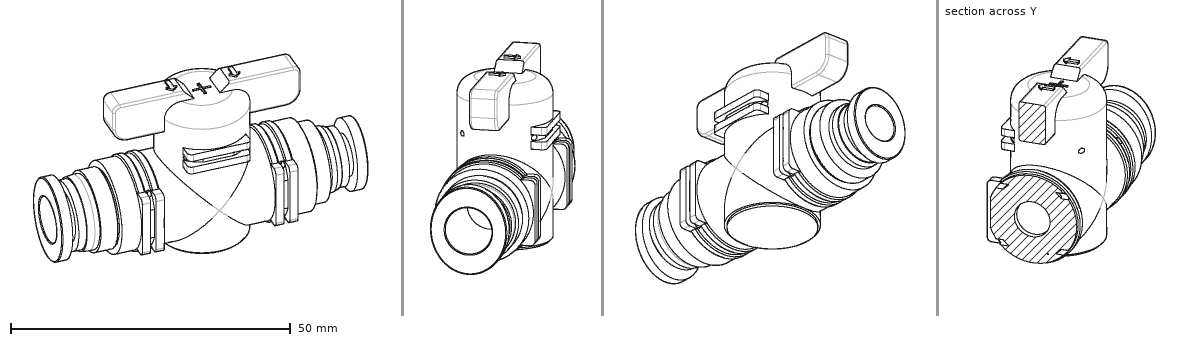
import cadquery as cq

half_length = 29.65
body_radius = 8.6
body_end = 18.75

column_top = 20.95
column_edge_radius = 3.1
base_radius = 8.1
base_bottom = -9.1
cross_arm = 1.7
cross_width = 0.5
cross_depth = 0.3

ring_offsets = (11.5, 14.2)
ring_base_width = 1.6
ring_crest_width = 1.05
ring_radius = 8.9

side_reach = 8.9
lug_half_width = 6.05
lug_corner_radius = 0.9
lug_offsets = (10.1, 12.75)
lug_width = 1.4
lug_gap_floor = 8.05

pin_radius = 0.5
pin_offset = 5.5
sleeve_radius = 7.55

groove_radius = 7.3
taper_end = 24.7
shoulder_end = 26.2
flange_inner = 27.6
flange_chamfer = 0.2

front_collar_start = 19.1
front_collar_end = 22.35
front_taper_start = 23.3
front_taper_base = 7.0
front_taper_tip = 6.8
front_shoulder_radius = 6.5
front_neck_radius = 4.85
front_flange_x = 7.0
front_flange_z = 8.05

back_collar_start = 19.2
back_collar_end = 21.8
back_cone_end = 22.65
back_taper_start = 23.65
back_taper_base = 6.1
back_taper_tip = 5.75
back_shoulder_radius = 5.6
back_neck_radius = 4.0
back_flange_x = 6.0
back_flange_z = 7.0

neck_wall = 0.6
mouth_chamfer = 0.2
bore_depth = 17.8

handle_half_length = 18.0
handle_width = 5.1
handle_bottom = 15.0
handle_top = 22.8
handle_low_corner = 2.9
handle_high_corner = 1.35
handle_edge_radius = 0.4
notch_half_bottom = 2.5
notch_half_top = 4.4

arrow_offset = 6.05
arrow_height = 0.35
arrow_half_length = 1.5
arrow_head_start = 0.55
arrow_head_half = 1.05
arrow_shaft_half = 0.4


def cylinder_z(radius, bottom, top):
    return cq.Workplane("XY").workplane(offset=bottom).circle(radius).extrude(top - bottom)


def cylinder_y(radius, start, end):
    return cq.Workplane("XZ", origin=(0, start, 0)).circle(radius).extrude(start - end)


def revolve_about_y(profile):
    """Revolve a closed profile of (radius, y) points around the Y axis."""
    return cq.Workplane("XY").polyline(profile).close().revolve(360, (0, 0, 0), (0, 1, 0))


def block(x_range, y_range, z_range):
    ranges = (x_range, y_range, z_range)
    sizes = [high - low for low, high in ranges]
    centre = tuple((low + high) / 2 for low, high in ranges)
    return cq.Workplane("XY").box(*sizes).translate(centre)


def make_column():
    column = cylinder_z(body_radius, -body_radius, column_top)
    column = column.faces(">Z").edges().fillet(column_edge_radius)
    return column.union(cylinder_z(base_radius, base_bottom, -body_radius))


def make_ring(centre_y):
    half_base = ring_base_width / 2
    half_crest = ring_crest_width / 2
    return revolve_about_y([
        (sleeve_radius, centre_y - half_base),
        (body_radius, centre_y - half_base),
        (ring_radius, centre_y - half_crest),
        (ring_radius, centre_y + half_crest),
        (body_radius, centre_y + half_base),
        (sleeve_radius, centre_y + half_base),
    ])


def make_column_lug(centre_z):
    half = lug_width / 2
    width_range = (-lug_half_width, lug_half_width)
    lug = block((0, side_reach), width_range, (centre_z - half, centre_z + half))
    return lug.faces(">X").edges("|Z").fillet(lug_corner_radius)


def make_leg_lug(centre_y):
    half = ring_base_width / 2
    width_range = (-lug_half_width, lug_half_width)
    lug = block((0, side_reach), (centre_y - half, centre_y + half), width_range)
    return lug.faces(">X").edges("|Y").fillet(lug_corner_radius)


def make_flange(half_x, half_z, side):
    """Oval release flange; side is +1 for the +Y end and -1 for the -Y end."""
    flange = (
        cq.Workplane("XZ", origin=(0, side * flange_inner, 0))
        .ellipse(half_x, half_z)
        .extrude(-side * (half_length - flange_inner))
    )
    outer_face = ">Y" if side > 0 else "<Y"
    return flange.faces(outer_face).edges().chamfer(flange_chamfer)


def make_front_end():
    barrel = revolve_about_y([
        (0, 0),
        (groove_radius, 0),
        (groove_radius, -front_collar_start),
        (sleeve_radius, -front_collar_start),
        (sleeve_radius, -front_collar_end),
        (front_taper_base, -front_collar_end),
        (front_taper_base, -front_taper_start),
        (front_taper_tip, -taper_end),
        (front_shoulder_radius, -taper_end),
        (front_shoulder_radius, -shoulder_end),
        (front_neck_radius, -shoulder_end),
        (front_neck_radius, -flange_inner),
        (0, -flange_inner),
    ])
    return barrel.union(make_flange(front_flange_x, front_flange_z, -1))


def make_back_end():
    barrel = revolve_about_y([
        (0, 0),
        (groove_radius, 0),
        (groove_radius, back_collar_start),
        (sleeve_radius, back_collar_start),
        (sleeve_radius, back_collar_end),
        (back_taper_base, back_cone_end),
        (back_taper_base, back_taper_start),
        (back_taper_tip, taper_end),
        (back_shoulder_radius, taper_end),
        (back_shoulder_radius, shoulder_end),
        (back_neck_radius, shoulder_end),
        (back_neck_radius, flange_inner),
        (0, flange_inner),
    ])
    return barrel.union(make_flange(back_flange_x, back_flange_z, 1))


def make_bore(neck_radius, side):
    """Blind tube socket with a flared mouth."""
    radius = neck_radius - neck_wall
    return revolve_about_y([
        (0, side * half_length),
        (radius + mouth_chamfer, side * half_length),
        (radius, side * (half_length - mouth_chamfer)),
        (radius, side * (half_length - bore_depth)),
        (0, side * (half_length - bore_depth)),
    ])


def make_pin(y, z):
    return (
        cq.Workplane("YZ", origin=(-side_reach, 0, 0))
        .center(y, z)
        .circle(pin_radius)
        .extrude(2 * side_reach)
    )


def make_handle():
    bar = block(
        (-handle_width / 2, handle_width / 2),
        (-handle_half_length, handle_half_length),
        (handle_bottom, handle_top),
    )
    bar = bar.faces("<Z").edges("|X").fillet(handle_low_corner)
    bar = bar.faces(">Z").edges("|X").fillet(handle_high_corner)
    bar = bar.faces("<X or >X").edges().fillet(handle_edge_radius)
    notch = (
        cq.Workplane("YZ", origin=(-handle_width, 0, 0))
        .polyline([
            (-notch_half_bottom, column_top),
            (notch_half_bottom, column_top),
            (notch_half_top, handle_top),
            (-notch_half_top, handle_top),
        ])
        .close()
        .extrude(2 * handle_width)
    )
    return bar.cut(notch)


def make_arrow(centre_y):
    """Raised arrow pointing toward +X."""
    return (
        cq.Workplane("XY", origin=(0, centre_y, handle_top))
        .polyline([
            (-arrow_half_length, -arrow_shaft_half),
            (arrow_head_start, -arrow_shaft_half),
            (arrow_head_start, -arrow_head_half),
            (arrow_half_length, 0),
            (arrow_head_start, arrow_head_half),
            (arrow_head_start, arrow_shaft_half),
            (-arrow_half_length, arrow_shaft_half),
        ])
        .close()
        .extrude(arrow_height)
    )


def make_cross():
    floor = column_top - cross_depth
    arms = block((-cross_arm, cross_arm), (-cross_width / 2, cross_width / 2), (floor, column_top))
    return arms.union(arms.rotate((0, 0, 0), (0, 0, 1), 90))


result = make_column().union(cylinder_y(body_radius, -body_end, body_end))
result = result.union(make_front_end()).union(make_back_end())

lug_centre = sum(lug_offsets) / 2
lug_gap = lug_offsets[1] - lug_offsets[0] - lug_width
for offset in lug_offsets:
    result = result.union(make_column_lug(offset))
gap_reach = (lug_gap_floor, side_reach)
gap_width = (-lug_half_width, lug_half_width)
result = result.cut(block(gap_reach, gap_width, (lug_centre - lug_gap / 2, lug_centre + lug_gap / 2)))
for side in (-1, 1):
    result = result.cut(make_pin(side * pin_offset, lug_centre))

ring_centre = sum(ring_offsets) / 2
leg_gap = ring_offsets[1] - ring_offsets[0] - ring_base_width
leg_sleeve = cylinder_y(sleeve_radius, -body_end, body_end)
for side in (-1, 1):
    for offset in ring_offsets:
        result = result.union(make_ring(side * offset))
        result = result.union(make_leg_lug(side * offset))
    middle = side * ring_centre
    result = result.cut(block(gap_reach, (middle - leg_gap / 2, middle + leg_gap / 2), gap_width))
    for z in (-pin_offset, pin_offset):
        result = result.cut(make_pin(middle, z).cut(leg_sleeve))

result = result.cut(make_bore(front_neck_radius, -1))
result = result.cut(make_bore(back_neck_radius, 1))

result = result.union(make_handle())
for side in (-1, 1):
    result = result.union(make_arrow(side * arrow_offset))
result = result.cut(make_cross())